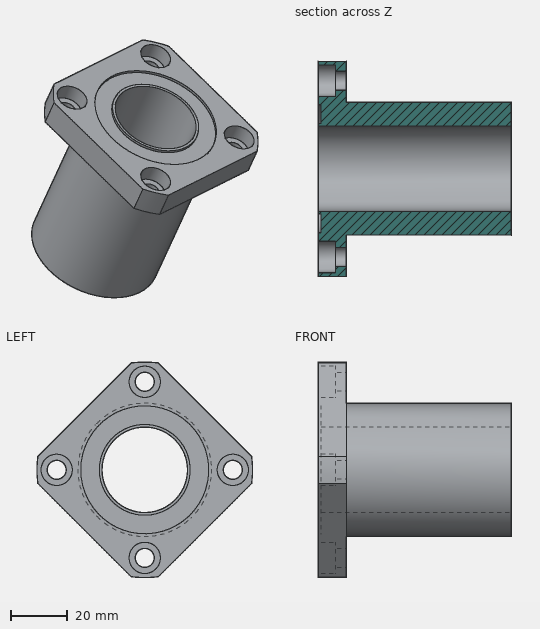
import cadquery as cq

total_length = 68.0
flange_thickness = 9.95
flange_diameter = 76.0
flange_square = 60.0
body_diameter = 47.0

bore_diameter = 30.0
lip_diameter = 32.0
recess_diameter = 45.05
recess_depth = 1.0

bolt_circle_radius = 31.0
bolt_hole_diameter = 6.6
counterbore_diameter = 11.0
counterbore_depth = 6.1
bolt_hole_count = 4


def cylinder(diameter, length, y=0):
    """Cylinder running along +X from the flange face, with its axis offset by y."""
    return cq.Workplane("YZ", origin=(0, y, 0)).circle(diameter / 2).extrude(length)


def make_flange():
    """Square turned on its corner, with the corners trimmed by a round disc."""
    square = cq.Workplane("YZ").rect(flange_square, flange_square).extrude(flange_thickness)
    square = square.rotate((0, 0, 0), (1, 0, 0), 45)
    return square.intersect(cylinder(flange_diameter, flange_thickness))


def cut_bolt_holes(part):
    """Counterbored through holes, one near each flange corner."""
    hole = cylinder(bolt_hole_diameter, flange_thickness, y=bolt_circle_radius)
    hole = hole.union(cylinder(counterbore_diameter, counterbore_depth, y=bolt_circle_radius))
    for i in range(bolt_hole_count):
        part = part.cut(hole.rotate((0, 0, 0), (1, 0, 0), i * 360 / bolt_hole_count))
    return part


body = make_flange().union(cylinder(body_diameter, total_length))
body = cut_bolt_holes(body)

recess = cylinder(recess_diameter, recess_depth).cut(cylinder(lip_diameter, recess_depth))
body = body.cut(recess)
result = body.cut(cylinder(bore_diameter, total_length))